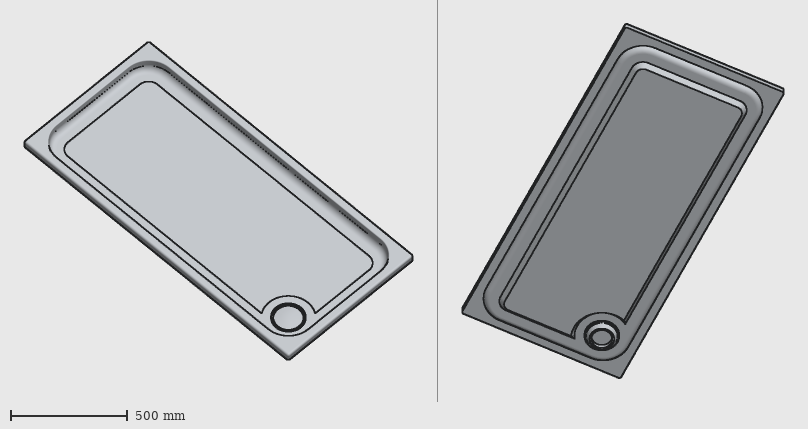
import cadquery as cq
import math

length = 1605.82
width = 756.76
total_depth = 85.18
rim_height = 37.7
rim_edge_radius = 10.0
rim_corner_radius = 10.0

rim_width = 40.0
basin_lip_radius = 5.0
basin_depth = 56.0
basin_wall_taper = 6.0
basin_corner_inset = 161.0
floor_fillet_radius = 32.0

shell_thickness = 4.0
shell_inset = rim_width - shell_thickness / math.cos(math.radians(basin_wall_taper))
shell_bottom = basin_depth + shell_thickness
shell_edge_radius = 27.0
foot_height = total_depth - shell_bottom
foot_top_inset = 108.0
foot_bottom_inset = 128.0
foot_taper = math.degrees(math.atan2(foot_bottom_inset - foot_top_inset, foot_height))

drain_inset = 172.0
drain_x = length / 2 - drain_inset
drain_y = -width / 2 + drain_inset
drain_hole_diameter = 90.0
recess_top_diameter = 150.0
recess_bottom_diameter = 132.0
recess_depth = 5.0
sump_top_radius = 73.0
sump_bottom_radius = 53.0
notch_top_radius = 117.0
notch_bottom_radius = 133.0

cover_diameter = 129.75
cover_edge_height = 4.0
cover_dome_rise = 8.0


def rounded_slab(inset, corner_radius, top, height, taper=0):
    """Rounded rectangle, inset from the tray outline, extruded down from Z = top."""
    return (
        cq.Workplane("XY", origin=(0, 0, top))
        .sketch()
        .rect(length - 2 * inset, width - 2 * inset)
        .vertices()
        .fillet(corner_radius)
        .finalize()
        .extrude(-height, taper=taper)
    )


def drain_cone(top_radius, bottom_radius, top, height):
    """Upright cone frustum on the drain axis, its upper face at Z = top."""
    return cq.Workplane(
        cq.Solid.makeCone(
            top_radius,
            bottom_radius,
            height,
            pnt=cq.Vector(drain_x, drain_y, top),
            dir=cq.Vector(0, 0, -1),
        )
    )


def make_rim():
    """Outer slab with rounded vertical corners and a rounded top edge."""
    rim = rounded_slab(0, rim_corner_radius, 0, rim_height)
    return rim.faces(">Z").edges().fillet(rim_edge_radius)


def make_shell():
    """Solid block under the rim that holds the basin."""
    shell = rounded_slab(shell_inset, basin_corner_inset - shell_inset, 0, shell_bottom, basin_wall_taper)
    return shell.faces("<Z").edges().fillet(shell_edge_radius)


def make_foot():
    """Tapered support under the shell, cut back around the drain."""
    foot = rounded_slab(
        foot_top_inset, basin_corner_inset - foot_top_inset, -shell_bottom, foot_height, foot_taper
    )
    return foot.cut(drain_cone(notch_top_radius, notch_bottom_radius, -shell_bottom, foot_height))


def make_basin():
    """Volume removed for the basin: tapered walls and a filleted floor."""
    basin = rounded_slab(rim_width, basin_corner_inset - rim_width, 0, basin_depth, basin_wall_taper)
    return basin.faces("<Z").edges().fillet(floor_fillet_radius)


def make_tray():
    """Rim, shell, foot and drain sump in one piece, with the basin and drain opening cut out."""
    sump = drain_cone(sump_top_radius, sump_bottom_radius, -shell_bottom, foot_height)
    tray = make_rim().union(make_shell()).union(make_foot()).union(sump)
    tray = tray.cut(make_basin())

    lip_point = (0, width / 2 - rim_width, 0)
    lip_edges = tray.faces(">Z").edges(cq.selectors.NearestToPointSelector(lip_point))
    tray = lip_edges.fillet(basin_lip_radius)

    recess = drain_cone(recess_top_diameter / 2, recess_bottom_diameter / 2, -basin_depth, recess_depth)
    drain_hole = (
        cq.Workplane("XY", origin=(drain_x, drain_y, -basin_depth))
        .circle(drain_hole_diameter / 2)
        .extrude(basin_depth - total_depth)
    )
    return tray.cut(recess).cut(drain_hole).solids()


def make_cover():
    """Domed disc that rests on the bottom of the drain recess."""
    radius = cover_diameter / 2
    apex = cover_edge_height + cover_dome_rise
    dome_radius = (radius**2 + cover_dome_rise**2) / (2 * cover_dome_rise)
    mid_radius = radius / 2
    mid_height = apex - dome_radius + math.sqrt(dome_radius**2 - mid_radius**2)
    return (
        cq.Workplane("XZ", origin=(drain_x, drain_y, -basin_depth - recess_depth))
        .lineTo(radius, 0)
        .lineTo(radius, cover_edge_height)
        .threePointArc((mid_radius, mid_height), (0, apex))
        .close()
        .revolve(360, (0, 0, 0), (0, 1, 0))
    )


tray = make_tray()
cover = make_cover()
result = cq.Compound.makeCompound([tray.val(), cover.val()])